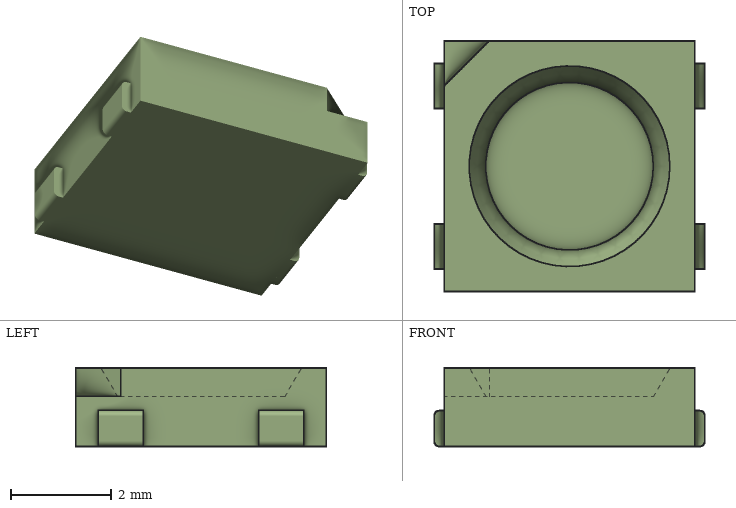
import cadquery as cq

body_size = 5.0
body_height = 1.57
corner_cut = 0.9
recess_depth = 0.57

cup_top_radius = 2.0
cup_floor_radius = 1.67

lead_thickness = 0.2
lead_width = 0.9
lead_height = 0.72
lead_edge_radius = 0.11
lead_pitch = 3.2

half_body = body_size / 2


def make_housing():
    """Square block with a conical cup and a notched corner at -X, +Y."""
    block = cq.Workplane("XY").box(body_size, body_size, body_height, centered=(True, True, False))
    cup = (
        cq.Workplane("XY", origin=(0, 0, body_height - recess_depth))
        .circle(cup_floor_radius)
        .workplane(offset=recess_depth)
        .circle(cup_top_radius)
        .loft(ruled=True)
    )
    corner_notch = (
        cq.Workplane("XY", origin=(0, 0, body_height - recess_depth))
        .moveTo(-half_body, half_body)
        .lineTo(-half_body, half_body - corner_cut)
        .lineTo(-half_body + corner_cut, half_body)
        .close()
        .extrude(recess_depth)
    )
    return block.cut(cup).cut(corner_notch)


def make_lead(side, y_center):
    """Lead on the +X (side = 1) or -X (side = -1) face, with its two outer edges rounded."""
    outer_face = ">X" if side > 0 else "<X"
    return (
        cq.Workplane("XY")
        .box(lead_thickness, lead_width, lead_height, centered=(True, True, False))
        .faces(outer_face)
        .edges("|Y")
        .fillet(lead_edge_radius)
        .translate((side * (half_body + lead_thickness / 2), y_center, 0))
    )


housing = make_housing()
leads = [make_lead(side, y) for side in (-1, 1) for y in (-lead_pitch / 2, lead_pitch / 2)]

result = cq.Compound.makeCompound([housing.val(), *[lead.val() for lead in leads]])